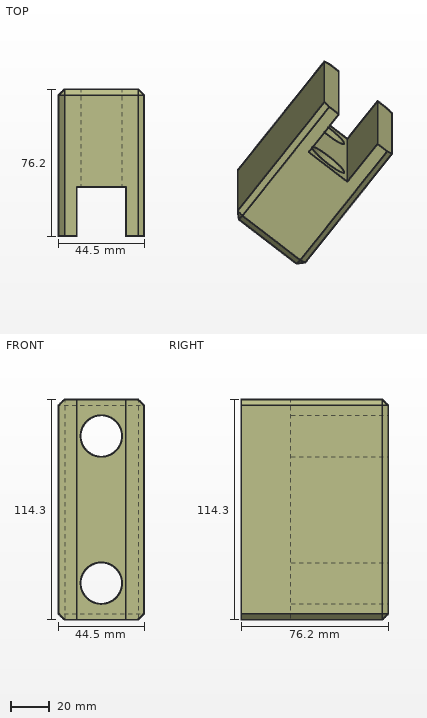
import cadquery as cq

width = 44.5
depth = 76.2
height = 114.3
chamfer = 3.2

slot_width = 25.4
slot_depth = 25.4

hole_diameter = 21.4
hole_spacing = 76.2


def chamfered_block():
    """Block with its Y-direction edges and its +Y rim chamfered."""
    block = cq.Workplane("XY").box(width, depth, height)
    return block.edges("|Y or >Y").chamfer(chamfer)


def slot():
    """Rectangular cutter for the slot, as tall as the block."""
    slot_center_y = (slot_depth - depth) / 2
    return cq.Workplane("XY").box(slot_width, slot_depth, height).translate((0, slot_center_y, 0))


def bolt_holes():
    """Cylindrical cutters spanning the block along Y."""
    return (
        cq.Workplane("XZ")
        .pushPoints([(0, -hole_spacing / 2), (0, hole_spacing / 2)])
        .circle(hole_diameter / 2)
        .extrude(depth / 2, both=True)
    )


result = chamfered_block().cut(slot()).cut(bolt_holes())